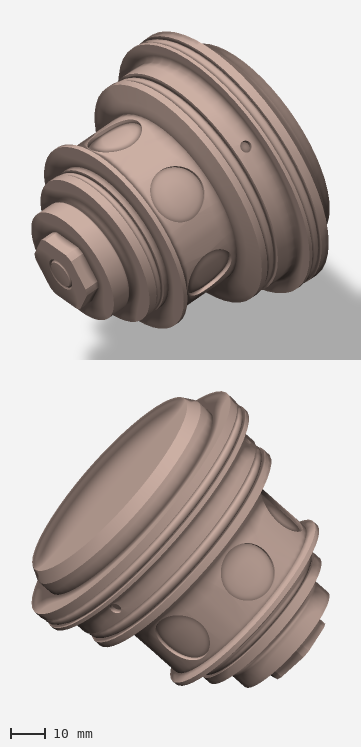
import cadquery as cq
import math

total_length = 73.9

spigot_dia = 69.0
spigot_rear_dia = 65.1
spigot_chamfer_end = 3.5

flange_dia = 83.5
flange_start = 8.35
flange_end = 15.6
collar_dia = 73.15
collar_end = 29.2
collar_fillet = 1.4

waist_dia = 55.7
waist_start = 31.15
waist_end = 51.2
window_dia = 16.5
window_count = 6
window_center = 41.4
sleeve_dia = 53.3

rim_dia = 61.0
rim_start = 52.2
rim_end = 53.6
land_dia = 47.7
land_end = 60.8
neck_fillet_dia = 36.0
neck_cone_dia = 33.0
neck_slope = math.radians(34.3)

washer_dia = 36.15
washer_start = 63.0
washer_end = 69.3
washer_fillet = 1.0
nut_end = 73.8
nut_across_flats = 21.05
nut_corner_dia = 23.05
nut_turn = 12.5

stud_dia = 9.1
stud_chamfer = 0.5
countersink_dia = 10.1
countersink_depth = (countersink_dia - stud_dia) / 2

vent_dia = 3.5
vent_center = 19.4
vent_depth = 1.7
vent_angles = (60, 180, 300)

grooves = (
    (11.0, 14.5, 80.5, 83.1, 2.9),
    (23.1, 27.05, 69.0, 72.2, 3.3),
    (55.45, 58.0, 45.0, 47.1, 2.25),
)


def cylinder(dia, start, end):
    """Solid cylinder on the Y axis between two distances from the rear face."""
    return cq.Workplane("XZ", origin=(0, -start, 0)).circle(dia / 2).extrude(end - start)


def cone(start_dia, end_dia, start, end):
    """Solid cone frustum on the Y axis."""
    return (
        cq.Workplane("XY")
        .moveTo(0, -start)
        .lineTo(start_dia / 2, -start)
        .lineTo(end_dia / 2, -end)
        .lineTo(0, -end)
        .close()
        .revolve(360, (0, 0, 0), (0, 1, 0))
    )


def radial_hole(dia, distance, angle, floor_radius, outer_radius):
    """Round cutter pointing away from the axis, angled from +X towards +Z."""
    return (
        cq.Workplane("YZ", origin=(floor_radius, 0, 0))
        .center(-distance, 0)
        .circle(dia / 2)
        .extrude(outer_radius - floor_radius)
        .rotate((0, 0, 0), (0, 1, 0), -angle)
    )


def make_collar():
    """Collar with a concave fillet running out onto the flange."""
    root_radius = collar_dia / 2 + collar_fillet
    fillet_end = flange_end + collar_fillet
    arc_offset = collar_fillet * (1 - math.sqrt(0.5))
    return (
        cq.Workplane("XY")
        .moveTo(0, -flange_end)
        .lineTo(root_radius, -flange_end)
        .threePointArc(
            (collar_dia / 2 + arc_offset, -flange_end - arc_offset),
            (collar_dia / 2, -fillet_end),
        )
        .lineTo(collar_dia / 2, -collar_end)
        .lineTo(0, -collar_end)
        .close()
        .revolve(360, (0, 0, 0), (0, 1, 0))
    )


def make_waist():
    """Waist with windows that stop at a round inner sleeve."""
    waist = cylinder(waist_dia, waist_start, waist_end)
    for index in range(window_count):
        angle = index * 360 / window_count
        waist = waist.cut(radial_hole(window_dia, window_center, angle, 0, waist_dia))
    return waist.union(cylinder(sleeve_dia, waist_start, waist_end))


def make_neck():
    """Tapered neck whose concave fillet runs from the land face into the cone."""
    fillet_run = (neck_fillet_dia - neck_cone_dia) / 2
    fillet_radius = fillet_run / math.sin(neck_slope)
    cone_start = land_end + fillet_radius * (1 - math.cos(neck_slope))
    tip_radius = neck_cone_dia / 2 - (washer_start - cone_start) / math.tan(neck_slope)
    arc_middle = (
        neck_fillet_dia / 2 - fillet_radius * math.sin(neck_slope / 2),
        -land_end - fillet_radius * (1 - math.cos(neck_slope / 2)),
    )
    return (
        cq.Workplane("XY")
        .moveTo(0, -land_end)
        .lineTo(neck_fillet_dia / 2, -land_end)
        .threePointArc(arc_middle, (neck_cone_dia / 2, -cone_start))
        .lineTo(tip_radius, -washer_start)
        .lineTo(0, -washer_start)
        .close()
        .revolve(360, (0, 0, 0), (0, 1, 0))
    )


def make_nut():
    """Hexagon nut with turned corners and a countersink around the stud."""
    hexagon = (
        cq.Workplane("XZ", origin=(0, -washer_end, 0))
        .polygon(6, nut_across_flats / math.cos(math.pi / 6))
        .extrude(nut_end - washer_end)
        .rotate((0, 0, 0), (0, 1, 0), -nut_turn)
    )
    nut = hexagon.intersect(cylinder(nut_corner_dia, washer_end, nut_end))
    countersink = cone(stud_dia, countersink_dia, nut_end - countersink_depth, nut_end)
    return nut.cut(countersink)


def make_seal_ring(center, outer_dia, section_dia):
    """Round-section ring on the Y axis, sketched facing inwards to keep its seam hidden."""
    ring_radius = (outer_dia - section_dia) / 2
    section_plane = cq.Plane(origin=(ring_radius, -center, 0), xDir=(-1, 0, 0), normal=(0, 0, 1))
    return (
        cq.Workplane(section_plane)
        .circle(section_dia / 2)
        .revolve(360, (ring_radius, 0, 0), (ring_radius, 1, 0))
    )


body = cone(spigot_rear_dia, spigot_dia, 0, spigot_chamfer_end)
body = body.union(cylinder(spigot_dia, spigot_chamfer_end, flange_start))
body = body.union(cylinder(flange_dia, flange_start, flange_end))
body = body.union(make_collar())
body = body.union(cone(collar_dia, waist_dia, collar_end, waist_start))
body = body.union(make_waist())
body = body.union(cone(waist_dia, rim_dia, waist_end, rim_start))
body = body.union(cylinder(rim_dia, rim_start, rim_end))
body = body.union(cylinder(land_dia, rim_end, land_end))
body = body.union(make_neck())

for vent_angle in vent_angles:
    vent_floor = collar_dia / 2 - vent_depth
    body = body.cut(radial_hole(vent_dia, vent_center, vent_angle, vent_floor, flange_dia / 2))

for rear_wall, front_wall, floor_dia, ring_dia, section_dia in grooves:
    groove = cylinder(flange_dia, rear_wall, front_wall).cut(cylinder(floor_dia, rear_wall, front_wall))
    ring = make_seal_ring((rear_wall + front_wall) / 2, ring_dia, section_dia)
    body = body.cut(groove).union(ring)

washer = cylinder(washer_dia, washer_start, washer_end).faces(">Y").edges().fillet(washer_fillet)
stud = cylinder(stud_dia, washer_end, total_length).faces("<Y").edges().chamfer(stud_chamfer)
result = body.union(washer).union(make_nut()).union(stud)